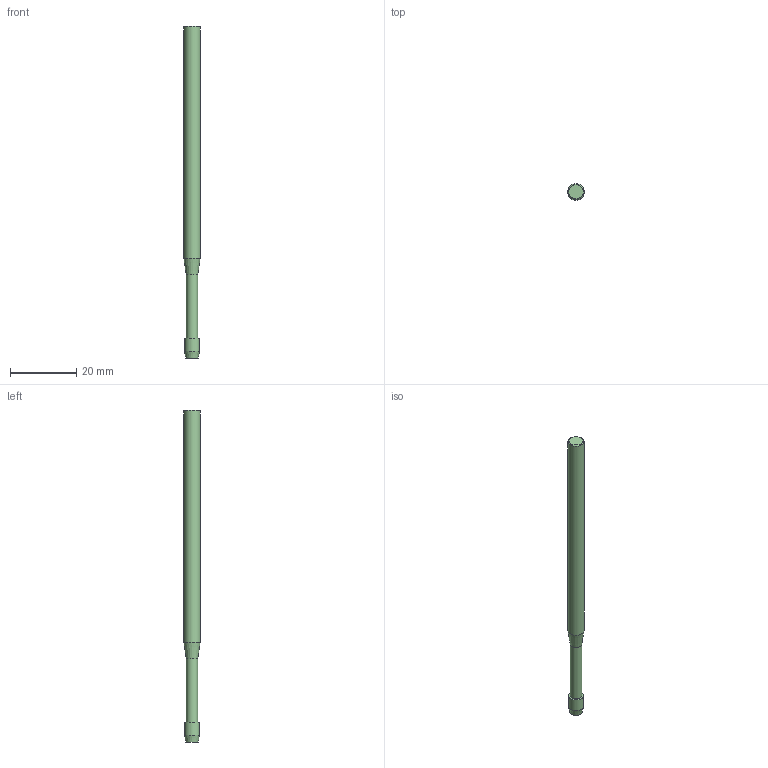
import cadquery as cq

total_length = 100.0
shank_bottom = 30.0
taper_bottom = 25.0
head_length = 6.0
lead_length = 2.0

shank_diameter = 4.9
neck_diameter = 3.5
head_diameter = 4.5
tip_diameter = 3.7

end_chamfer = 0.3


def revolve_about_z(profile):
    """Turn a closed (radius, height) outline into a solid around the Z axis."""
    return cq.Workplane("XZ").polyline(profile).close().revolve(360, (0, 0), (0, 1))


def make_holder():
    """Chamfered shank that tapers to a thin neck, which ends on the back of the head."""
    shank_radius = shank_diameter / 2
    neck_radius = neck_diameter / 2
    return revolve_about_z([
        (0, head_length),
        (neck_radius, head_length),
        (neck_radius, taper_bottom),
        (shank_radius, shank_bottom),
        (shank_radius, total_length - end_chamfer),
        (shank_radius - end_chamfer, total_length),
        (0, total_length),
    ])


def make_head():
    """Cylindrical head with a tapered lead down to the flat tip."""
    head_radius = head_diameter / 2
    return revolve_about_z([
        (0, 0),
        (tip_diameter / 2, 0),
        (head_radius, lead_length),
        (head_radius, head_length),
        (0, head_length),
    ])


holder = make_holder()
head = make_head()
result = cq.Compound.makeCompound([holder.val(), head.val()])